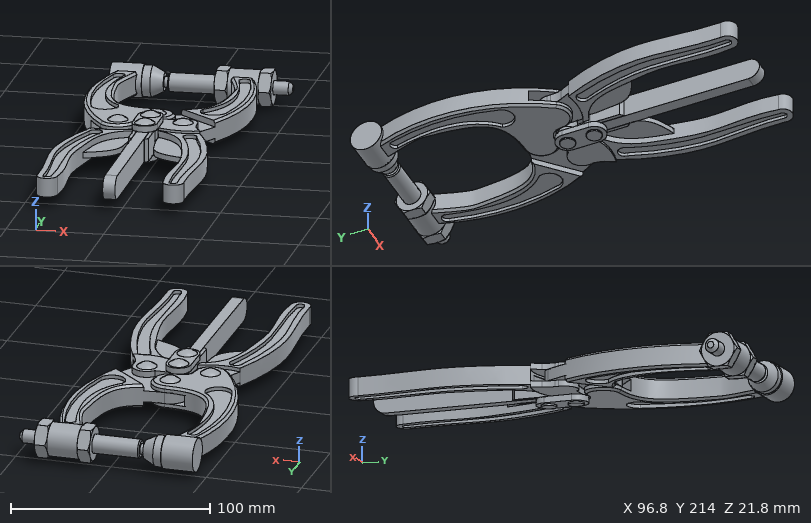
import cadquery as cq
import math


OVERALL_LENGTH = 214

RIVET_X = 16.7
JAW_PIVOT = (0, 14.8)
SIDE_PIVOT = (-RIVET_X, 0)
LEVER_PIVOT = (0, -14.8)
CENTRE_PIVOT = (0, 0)

BODY_HALF = 6.2
GRIP_HALF = 5.0
TONGUE_HALF = 3.0
WEB_HALF = 1.5
FLANGE_HALF = 6.0
POCKET_DEPTH = 2.0
LINK_THICKNESS = 3.2
LINK_HALF = BODY_HALF + LINK_THICKNESS

SHANK_RADIUS = 4.0
HEAD_RADIUS = 5.1
HEAD_HEIGHT = 2.1
TAIL_HEIGHT = 0.9

JAW_EAR_RADIUS = 9.6
JAW_HOLLOW_RADIUS = 5.3
JAW_CHAMFER = 1.3
OUTER_ARC_CENTRE = (58.0, 51.5)
ARM_TOP_Y = 91.0
ARM_INNER_TOP_X = -22.7
OPENING_SIDE = (-29.5, 60.5)
OPENING_CORNER = (-24.0, 34.2)
STEP_INNER = (-12.0, 24.2)
STEP_OUTER = (-31.7, 6.6)
POCKET_CROWN = 2.5
LEFT_POCKET_TOP_Y = 83.5
RIGHT_POCKET_TOP_Y = 85.1

AXIS_Y = 94.1
BARREL_RADIUS = 8.8
ANVIL_START = -38.3
ANVIL_END = -21.5
BARREL_START = 22.2
BARREL_END = 38.0
NUT_THICKNESS = 6.6
NUT_CHAMFER = 0.6
NUT_FLATS = 2 * BARREL_RADIUS
NUT_CORNERS = NUT_FLATS / math.cos(math.pi / 6)
CAP_RADIUS = 8.1
CAP_SHOULDER_X = -17.3
CAP_END_X = -11.1
NECK_RADIUS = 2.8
ROD_START = -9.0
ROD_RADIUS = 5.0
ROD_CHAMFER = 0.6
STUD_RADIUS = 3.6
STUD_END = 54.5
STUD_CHAMFER = 2.0

HANDLE_EAR_RADIUS = 7.5
LINK_RADIUS = 6.5
HUB_RADIUS = 5.0
GRIP_TOP_OUTER = (-28.0, -13.7)
GRIP_TOP_MIDDLE = (-20.5, -14.8)
GRIP_TOP_INNER = (-LINK_RADIUS, -11.5)
NOTCH_START_Y = -2.0
NOTCH_MIDDLE = (-24.4, -5.1)
NOTCH_END = (-25.5, -8.3)
LEFT_CROTCH_Y = -15.0
RIGHT_CROTCH_Y = -12.5
GRIP_END_RADIUS = 5.3
GRIP_END_Y = AXIS_Y + NUT_CORNERS / 2 - OVERALL_LENGTH
GRIP_END_CENTRE = (-32.3, GRIP_END_Y + GRIP_END_RADIUS)
GRIP_GROOVE_RADIUS = 2.1

LEVER_HALF_WIDTH = 3.2
LEVER_END_Y = -108.2
FLANGE_HALF_WIDTH = 5.1
FLANGE_END_Y = -33.0
FLANGE_CHAMFER = 1.7


def plate(outline, low, high):
    """Solid between two heights from a closed outline."""
    return outline.extrude(high - low).translate((0, 0, low))


def slab(outline, half):
    """Solid centred on the mid plane."""
    return plate(outline, -half, half)


def disc(centre, radius, low, high):
    return plate(cq.Workplane("XY").center(*centre).circle(radius), low, high)


def mirrored(body):
    return body.mirror("YZ")


def on_circle(centre, radius, degrees):
    angle = math.radians(degrees)
    return (centre[0] + radius * math.cos(angle), centre[1] + radius * math.sin(angle))


def rivet_shank(centre, half):
    return disc(centre, SHANK_RADIUS, -half, half)


def rivet_head(centre, base):
    """Domed head standing on the surface at height base."""
    dome_radius = (HEAD_RADIUS**2 + HEAD_HEIGHT**2) / (2 * HEAD_HEIGHT)
    dome = cq.Workplane("XY").sphere(dome_radius)
    dome = dome.translate((*centre, base + HEAD_HEIGHT - dome_radius))
    return dome.intersect(disc(centre, HEAD_RADIUS, base, base + HEAD_HEIGHT))


def rivet(centre, half):
    return rivet_shank(centre, half).union(rivet_head(centre, half))


def cut_both_faces(body, outline, half, depth):
    """Recess of the outline in the upper and lower faces."""
    recess = plate(outline, half - depth, half)
    return body.cut(recess).cut(recess.mirror("XY"))


def jaw_outline():
    reach_x = SIDE_PIVOT[0] - OUTER_ARC_CENTRE[0]
    reach_y = SIDE_PIVOT[1] - OUTER_ARC_CENTRE[1]
    outer_radius = math.hypot(reach_x, reach_y) + JAW_EAR_RADIUS
    ear_start_angle = math.degrees(math.atan2(reach_y, reach_x))
    rise = ARM_TOP_Y - OUTER_ARC_CENTRE[1]
    arm_outer_top = (OUTER_ARC_CENTRE[0] - math.sqrt(outer_radius**2 - rise**2), ARM_TOP_Y)

    ear_gap = math.dist(SIDE_PIVOT, JAW_PIVOT)
    toward_jaw = math.atan2(JAW_PIVOT[1] - SIDE_PIVOT[1], JAW_PIVOT[0] - SIDE_PIVOT[0])
    tilt = math.acos(ear_gap / 2 / (JAW_EAR_RADIUS + JAW_HOLLOW_RADIUS))
    side_touch_angle = math.degrees(toward_jaw - tilt)
    jaw_touch_angle = math.degrees(toward_jaw + tilt) - 180
    hollow_centre = on_circle(SIDE_PIVOT, JAW_EAR_RADIUS + JAW_HOLLOW_RADIUS, side_touch_angle)
    hollow_middle_angle = math.degrees(toward_jaw) + 90

    return (
        cq.Workplane("XY")
        .moveTo(*arm_outer_top)
        .threePointArc(
            on_circle(OUTER_ARC_CENTRE, outer_radius, 180),
            on_circle(SIDE_PIVOT, JAW_EAR_RADIUS, ear_start_angle),
        )
        .threePointArc(
            on_circle(SIDE_PIVOT, JAW_EAR_RADIUS, -80),
            on_circle(SIDE_PIVOT, JAW_EAR_RADIUS, side_touch_angle),
        )
        .threePointArc(
            on_circle(hollow_centre, JAW_HOLLOW_RADIUS, hollow_middle_angle),
            on_circle(JAW_PIVOT, JAW_EAR_RADIUS, jaw_touch_angle),
        )
        .threePointArc(
            on_circle(JAW_PIVOT, JAW_EAR_RADIUS, 0),
            on_circle(JAW_PIVOT, JAW_EAR_RADIUS, 90),
        )
        .spline(
            [OPENING_CORNER, OPENING_SIDE, (ARM_INNER_TOP_X, ARM_TOP_Y)],
            tangents=[(-1, 0), (0.35, 1)],
            includeCurrent=True,
        )
        .close()
    )


def jaw_pocket_outline(top_y):
    shoulder_y = top_y - POCKET_CROWN
    return (
        cq.Workplane("XY")
        .moveTo(-34.9, shoulder_y)
        .threePointArc((-39.0, 52.6), (-34.5, 21.2))
        .threePointArc((-28.0, 16.7), (-21.5, 26.0))
        .spline([(-30.4, 39.5), (-33.0, 56.5), (-29.0, shoulder_y)], includeCurrent=True)
        .threePointArc((-31.9, top_y), (-34.9, shoulder_y))
        .close()
    )


def pivot_region():
    """Outline covering everything on the pivot side of the step line."""
    slope = (STEP_INNER[1] - STEP_OUTER[1]) / (STEP_INNER[0] - STEP_OUTER[0])
    margin = 32
    left_x = STEP_OUTER[0] - margin
    right_x = STEP_INNER[0] + margin
    return cq.Workplane("XY").polyline(
        [
            (left_x, STEP_OUTER[1] - slope * margin),
            (right_x, STEP_INNER[1] + slope * margin),
            (right_x, -margin),
            (left_x, -margin),
        ]
    ).close()


def jaw_blank(pocket_top_y):
    blank = slab(jaw_outline(), BODY_HALF).faces("|Z").edges().chamfer(JAW_CHAMFER)
    return cut_both_faces(blank, jaw_pocket_outline(pocket_top_y), BODY_HALF, POCKET_DEPTH)


def axial_cylinder(radius, start, end):
    """Cylinder on the clamping axis."""
    return (
        cq.Workplane("YZ", origin=(start, AXIS_Y, 0))
        .circle(radius)
        .extrude(end - start)
    )


def make_left_jaw():
    """Fork jaw with the anvil and the rivets of the jaw and side pivots."""
    jaw = jaw_blank(LEFT_POCKET_TOP_Y).cut(slab(pivot_region(), TONGUE_HALF))
    jaw = jaw.union(axial_cylinder(BARREL_RADIUS, ANVIL_START, ANVIL_END))
    for centre in (JAW_PIVOT, SIDE_PIVOT):
        jaw = jaw.union(rivet(centre, BODY_HALF))
    return jaw


def make_right_jaw():
    """Jaw with a thin tongue at the pivots and a bored barrel for the spindle."""
    blank = jaw_blank(RIGHT_POCKET_TOP_Y)
    jaw = cut_both_faces(blank, pivot_region(), BODY_HALF, BODY_HALF - TONGUE_HALF)
    for centre in (JAW_PIVOT, SIDE_PIVOT):
        jaw = jaw.cut(rivet_shank(centre, BODY_HALF))
    jaw = mirrored(jaw)
    jaw = jaw.union(axial_cylinder(BARREL_RADIUS, BARREL_START, BARREL_END))
    return jaw.cut(axial_cylinder(STUD_RADIUS, BARREL_START, BARREL_END))


def handle_ear(low, high):
    """Pivot end of a handle: side ear, centre hub and the plate down to the grip."""
    ear_x = -RIVET_X - HANDLE_EAR_RADIUS
    outline = (
        cq.Workplane("XY")
        .moveTo(0, 0)
        .lineTo(0, HUB_RADIUS)
        .lineTo(-RIVET_X, HUB_RADIUS)
        .lineTo(ear_x, 0)
        .lineTo(ear_x, NOTCH_START_Y)
        .threePointArc(NOTCH_MIDDLE, NOTCH_END)
        .lineTo(*GRIP_TOP_OUTER)
        .threePointArc(GRIP_TOP_MIDDLE, GRIP_TOP_INNER)
        .lineTo(-LINK_RADIUS, 0)
        .close()
    )
    ear = plate(outline, low, high)
    ear = ear.union(disc(CENTRE_PIVOT, HUB_RADIUS, low, high))
    return ear.union(disc(SIDE_PIVOT, HANDLE_EAR_RADIUS, low, high))


def grip_outline(crotch_y):
    return (
        cq.Workplane("XY")
        .moveTo(*GRIP_TOP_INNER)
        .threePointArc(GRIP_TOP_MIDDLE, GRIP_TOP_OUTER)
        .spline(
            [
                (-34.5, -30.0),
                (-39.4, -56.5),
                (-37.9, -85.3),
                on_circle(GRIP_END_CENTRE, GRIP_END_RADIUS, 165),
            ],
            includeCurrent=True,
        )
        .threePointArc(
            on_circle(GRIP_END_CENTRE, GRIP_END_RADIUS, -90),
            on_circle(GRIP_END_CENTRE, GRIP_END_RADIUS, 0),
        )
        .spline(
            [(-26.3, -86.2), (-27.5, -64.4), (-24.8, -44.3), (-18.8, -24.2), (-LINK_RADIUS, crotch_y)],
            includeCurrent=True,
        )
        .close()
    )


def grip_groove_outline():
    return (
        cq.Workplane("XY")
        .moveTo(-27.5, -20.0)
        .spline(
            [
                (-33.2, -37.9),
                (-36.4, -62.0),
                (-34.7, -85.5),
                on_circle(GRIP_END_CENTRE, GRIP_GROOVE_RADIUS, 180),
            ],
            includeCurrent=True,
        )
        .threePointArc(
            on_circle(GRIP_END_CENTRE, GRIP_GROOVE_RADIUS, -90),
            on_circle(GRIP_END_CENTRE, GRIP_GROOVE_RADIUS, 0),
        )
        .spline([(-29.7, -82.1), (-30.0, -56.5), (-25.2, -33.0), (-20.7, -20.7)], includeCurrent=True)
        .threePointArc((-23.5, -16.7), (-27.5, -20.0))
        .close()
    )


def web_outline():
    """Thin web between the grip and the lever."""
    return (
        cq.Workplane("XY")
        .moveTo(*GRIP_TOP_INNER)
        .lineTo(-LINK_RADIUS, -19.3)
        .lineTo(-8.0, -31.7)
        .spline([(-10.7, -38.7), (-25.2, -47.0)], tangents=[(-0.1, -1), (-1, -0.35)], includeCurrent=True)
        .lineTo(-27.8, -47.0)
        .lineTo(*GRIP_TOP_MIDDLE)
        .close()
    )


def handle_grip(crotch_y):
    grip = slab(grip_outline(crotch_y), GRIP_HALF).union(slab(web_outline(), WEB_HALF))
    return cut_both_faces(grip, grip_groove_outline(), GRIP_HALF, POCKET_DEPTH)


def make_left_handle():
    """Handle with a single tongue that fits in the left jaw's fork."""
    handle = handle_grip(LEFT_CROTCH_Y).union(handle_ear(-TONGUE_HALF, TONGUE_HALF))
    for centre in (SIDE_PIVOT, CENTRE_PIVOT):
        handle = handle.cut(rivet_shank(centre, BODY_HALF))
    return handle


def make_right_handle():
    """Handle with a fork that straddles the right jaw's tongue, and its rivet."""
    handle = handle_grip(RIGHT_CROTCH_Y)
    for low, high in ((TONGUE_HALF, BODY_HALF), (-BODY_HALF, -TONGUE_HALF)):
        handle = handle.union(handle_ear(low, high))
    handle = handle.cut(rivet_shank(CENTRE_PIVOT, BODY_HALF))
    return mirrored(handle.union(rivet(SIDE_PIVOT, BODY_HALF)))


def link_plate(low, high):
    pitch = CENTRE_PIVOT[1] - LEVER_PIVOT[1]
    middle_y = (CENTRE_PIVOT[1] + LEVER_PIVOT[1]) / 2
    outline = cq.Workplane("XY").center(0, middle_y)
    outline = outline.slot2D(pitch + 2 * LINK_RADIUS, 2 * LINK_RADIUS, 90)
    return plate(outline, low, high)


def lever_bar(half_width, end_y, half_height):
    """Bar from the lever pivot down to end_y."""
    length = LEVER_PIVOT[1] - end_y
    bar = cq.Workplane("XY").box(2 * half_width, length, 2 * half_height)
    return bar.translate((0, end_y + length / 2, 0))


def make_lever():
    """Release lever with its two link plates and their rivets."""
    lever = lever_bar(LEVER_HALF_WIDTH, LEVER_END_Y + BODY_HALF, BODY_HALF)
    round_end = cq.Workplane("YZ").circle(BODY_HALF).extrude(LEVER_HALF_WIDTH, both=True)
    lever = lever.union(round_end.translate((0, LEVER_END_Y + BODY_HALF, 0)))
    flange = lever_bar(FLANGE_HALF_WIDTH, FLANGE_END_Y, FLANGE_HALF)
    lever = lever.union(flange.edges("|Z and <Y").chamfer(FLANGE_CHAMFER))
    lever = lever.union(disc(LEVER_PIVOT, FLANGE_HALF_WIDTH, -BODY_HALF, BODY_HALF))
    for low, high in ((BODY_HALF, LINK_HALF), (-LINK_HALF, -BODY_HALF)):
        lever = lever.union(link_plate(low, high))
    for centre in (CENTRE_PIVOT, LEVER_PIVOT):
        lever = lever.union(rivet(centre, LINK_HALF))
        lever = lever.union(disc(centre, SHANK_RADIUS, -LINK_HALF - TAIL_HEIGHT, -LINK_HALF))
    return lever


def hex_nut(start):
    """Nut with flats facing up and down and both ends chamfered."""
    nut = (
        cq.Workplane("YZ", origin=(start, AXIS_Y, 0))
        .polygon(6, NUT_CORNERS)
        .extrude(NUT_THICKNESS)
    )
    envelope = axial_cylinder(NUT_CORNERS / 2, start, start + NUT_THICKNESS)
    envelope = envelope.faces("|X").edges().chamfer(NUT_CHAMFER, (NUT_CORNERS - NUT_FLATS) / 2)
    return nut.intersect(envelope)


def make_spindle():
    """Turned spindle with its pressing cap and two lock nuts."""
    profile = [
        (ANVIL_END, 0),
        (ANVIL_END, CAP_RADIUS),
        (CAP_SHOULDER_X, CAP_RADIUS),
        (CAP_END_X, ROD_RADIUS),
        (CAP_END_X, NECK_RADIUS),
        (ROD_START, NECK_RADIUS),
        (ROD_START, ROD_RADIUS - ROD_CHAMFER),
        (ROD_START + ROD_CHAMFER, ROD_RADIUS),
        (BARREL_START, ROD_RADIUS),
        (BARREL_START, STUD_RADIUS),
        (STUD_END - STUD_CHAMFER, STUD_RADIUS),
        (STUD_END, STUD_RADIUS - STUD_CHAMFER),
        (STUD_END, 0),
    ]
    spindle = cq.Workplane("XY").polyline(profile).close().revolve(360, (0, 0, 0), (1, 0, 0))
    spindle = spindle.translate((0, AXIS_Y, 0))
    for start in (BARREL_START - NUT_THICKNESS, BARREL_END):
        spindle = spindle.union(hex_nut(start))
    return spindle


left_jaw = make_left_jaw()
right_jaw = make_right_jaw()
left_handle = make_left_handle()
right_handle = make_right_handle()
lever = make_lever()
spindle = make_spindle()

result = cq.Compound.makeCompound(
    [
        left_jaw.solids().val(),
        right_jaw.solids().val(),
        left_handle.solids().val(),
        right_handle.solids().val(),
        lever.solids().val(),
        spindle.solids().val(),
    ]
)